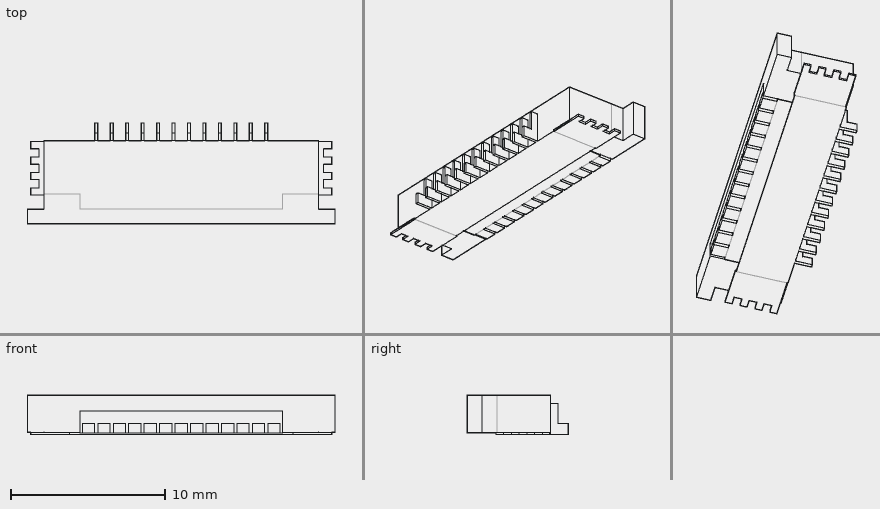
import cadquery as cq


TOTAL_HEIGHT = 2.56
TOTAL_DEPTH = 6.54

PITCH = 1.0
PIN_COUNT = 12
TOOTH_COUNT = PIN_COUNT + 1
PIN_WIDTH = 0.2
TOOTH_WIDTH = PITCH - PIN_WIDTH

HOUSING_LENGTH = 17.8
HOUSING_BACK = 5.4
HOUSING_BOTTOM = 0.1

COVER_LENGTH = 19.92
COVER_BAR_DEPTH = 0.96
COVER_EAR_BACK = 1.93
COVER_BOTTOM = 0.15
OPENING_LENGTH = 13.14
LINTEL_HEIGHT = 1.02
OPENING_TOP = TOTAL_HEIGHT - LINTEL_HEIGHT

TOOTH_TOP = 0.71

PIN_TOP = 2.03
PIN_UPRIGHT_BACK = 5.89
PIN_FOOT_HEIGHT = 0.73

TAB_THICKNESS = 0.15
TAB_INNER_X = 7.22
TAB_SLOT_X = 9.22
TAB_OUTER_X = 9.75
TAB_FRONT = 1.86
FINGER_COUNT = 4
FINGER_PITCH = 1.0
FINGER_WIDTH = 0.48
TAB_BACK = TAB_FRONT + (FINGER_COUNT - 1) * FINGER_PITCH + FINGER_WIDTH


def block(x_range, y_range, z_range):
    """Box spanning the given (low, high) range on each axis."""
    lows, highs = zip(x_range, y_range, z_range)
    size = [high - low for low, high in zip(lows, highs)]
    return cq.Workplane("XY").box(*size, centered=False).translate(lows)


def centred(length, centre=0.0):
    """Range of the given length about a centre."""
    return (centre - length / 2, centre + length / 2)


def row_centres(count):
    """X positions of evenly pitched items centred on the connector."""
    return [(i - (count - 1) / 2) * PITCH for i in range(count)]


def make_housing():
    """Main block, its tongue between the cover ears, and the base pad below it."""
    height = (HOUSING_BOTTOM, TOTAL_HEIGHT)
    main = block(centred(HOUSING_LENGTH), (COVER_EAR_BACK, HOUSING_BACK), height)
    tongue = block(centred(OPENING_LENGTH), (COVER_BAR_DEPTH, COVER_EAR_BACK), height)
    base = block(centred(2 * TAB_INNER_X), (COVER_EAR_BACK, HOUSING_BACK), (0, HOUSING_BOTTOM))
    return main.union(tongue).union(base)


def make_cover():
    """Front bar with an ear behind each end and the cable opening cut through it."""
    height = (COVER_BOTTOM, TOTAL_HEIGHT)
    bar = block(centred(COVER_LENGTH), (0, COVER_BAR_DEPTH), height)
    ears = block(centred(HOUSING_LENGTH), (COVER_BAR_DEPTH, COVER_EAR_BACK), height)
    tongue_gap = block(centred(OPENING_LENGTH), (COVER_BAR_DEPTH, COVER_EAR_BACK), height)
    opening = block(centred(OPENING_LENGTH), (0, COVER_BAR_DEPTH), (COVER_BOTTOM, OPENING_TOP))
    return bar.union(ears).cut(tongue_gap).cut(opening)


def make_tooth(x):
    """Comb tooth reaching from the housing tongue to the front face."""
    return block(centred(TOOTH_WIDTH, x), (0, COVER_BAR_DEPTH), (HOUSING_BOTTOM, TOOTH_TOP))


def make_pin(x):
    """L-shaped pin: an upright against the housing back and a foot on the seating plane."""
    upright = block(centred(PIN_WIDTH, x), (HOUSING_BACK, PIN_UPRIGHT_BACK), (0, PIN_TOP))
    foot = block(centred(PIN_WIDTH, x), (PIN_UPRIGHT_BACK, TOTAL_DEPTH), (0, PIN_FOOT_HEIGHT))
    return upright.union(foot)


def make_tab():
    """Solder tab at the +X end: a plate partly embedded in the housing underside with fingers outside it."""
    thickness = (0, TAB_THICKNESS)
    tab = block((TAB_INNER_X, TAB_SLOT_X), (TAB_FRONT, TAB_BACK), thickness)
    for i in range(FINGER_COUNT):
        front = TAB_FRONT + i * FINGER_PITCH
        tab = tab.union(block((TAB_SLOT_X, TAB_OUTER_X), (front, front + FINGER_WIDTH), thickness))
    return tab


result = make_housing().union(make_cover(), clean=False)
for tooth_x in row_centres(TOOTH_COUNT):
    result = result.union(make_tooth(tooth_x), clean=False)
for pin_x in row_centres(PIN_COUNT):
    result = result.union(make_pin(pin_x), clean=False)
right_tab = make_tab()
result = result.union(right_tab, clean=False).union(right_tab.mirror("YZ"), clean=False)